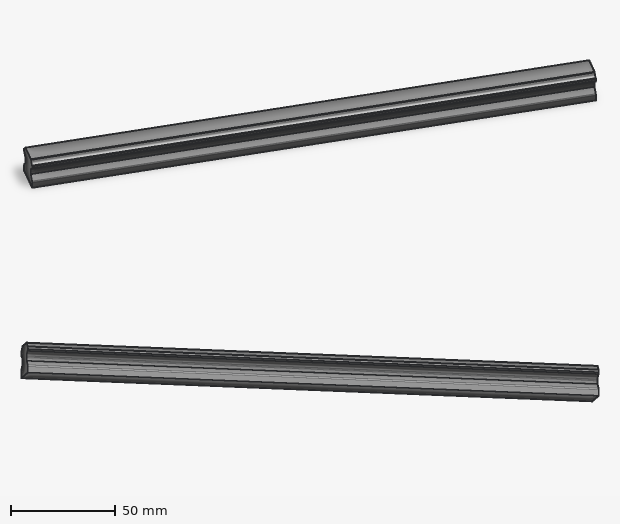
import cadquery as cq
import math

length = 280.0
width = 15.0
height = 15.0

foot_side_height = 3.0
shoulder_radius = 1.0

web_width = 9.8
web_top = 7.8

flank_bottom = 11.5
flank_top = 12.5
lower_groove_depth = 0.42
upper_groove_depth = 0.3

lower_groove_bottom = 8.7
lower_groove_offset_from_web = 0.15
lower_lip_width = 0.5
lower_lip_height = 0.8

upper_groove_near_inset = 0.3
upper_groove_far_inset = 2.2

half_width = width / 2
half_web = web_width / 2

full_turn = math.radians(45)
half_turn = full_turn / 2


def shoulder_point(angle):
    """Return the point on the shoulder round after turning by the given angle."""
    x = half_width - shoulder_radius * (1 - math.cos(angle))
    z = foot_side_height + shoulder_radius * math.sin(angle)
    return x, z


shoulder_end_x, shoulder_end_z = shoulder_point(full_turn)
shoulder_top = shoulder_end_z + (shoulder_end_x - half_web)

top_half_width = half_width - (height - flank_top)

lower_groove_start = (half_web + lower_groove_offset_from_web, lower_groove_bottom)
lower_groove_end = (half_width - lower_lip_width, flank_bottom - lower_lip_height)
upper_groove_start = (half_width - upper_groove_near_inset, height - upper_groove_far_inset)
upper_groove_end = (half_width - upper_groove_far_inset, height - upper_groove_near_inset)

half_rail = (
    cq.Workplane("XZ")
    .moveTo(0, 0)
    .lineTo(half_width, 0)
    .lineTo(half_width, foot_side_height)
    .threePointArc(shoulder_point(half_turn), (shoulder_end_x, shoulder_end_z))
    .lineTo(half_web, shoulder_top)
    .lineTo(half_web, web_top)
    .lineTo(*lower_groove_start)
    .sagittaArc(lower_groove_end, lower_groove_depth)
    .lineTo(half_width, flank_bottom)
    .lineTo(half_width, flank_top)
    .lineTo(*upper_groove_start)
    .sagittaArc(upper_groove_end, upper_groove_depth)
    .lineTo(top_half_width, height)
    .lineTo(0, height)
    .close()
    .extrude(length / 2, both=True)
)

result = half_rail.union(half_rail.mirror("YZ")).clean()